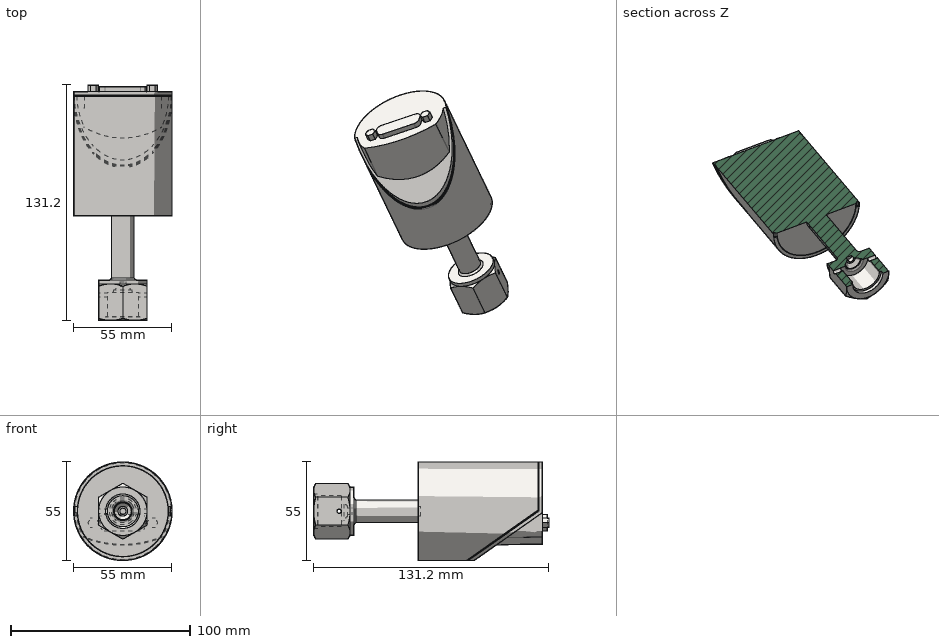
import cadquery as cq
import math


hexagon_half_angle = 30.0

case_diameter = 55.0
case_radius = case_diameter / 2
case_length = 69.2
cover_thickness = 2.1
seam_width = 0.2
seam_depth = 0.5
seam_chamfer = 0.25
slope_angle = 35.1
slope_start_z = 0.3

end_plate_diameter = 50.8
rim_line_width = 0.15
rim_line_depth = 0.2
latch_width = 5.2
latch_outer_radius = 26.7
latch_depth = 1.4

housing_radius = 25.8
housing_edge_z = -14.4
housing_bottom_z = -18.5
housing_draft = 1.0

connector_z = -6.4
connector_height = 2.85
connector_width = 27.3
connector_depth = 9.3
connector_taper = 10.0
connector_corner_radius = 3.1
screw_spacing = 32.9
screw_across_flats = 5.2
screw_height = 3.72

overall_length = 131.22
tube_diameter = 12.7
nut_across_flats = 27.0
nut_length = 20.3
collar_length = 2.15
weld_length = 1.1
weld_diameter = 15.0
nut_chamfer_angle = 30.0
leak_port_diameter = 2.29
leak_port_from_end = 14.2

bore_diameter = 17.3
bore_mouth_diameter = 19.2
bore_mouth_depth = 2.0
bore_mouth_cone = 0.3
bore_depth = 15.5
gland_bore_radius = 5.2
gland_lip_rounding = 0.7
gland_bore_depth = 1.4
gland_cone_mouth_radius = 4.7
gland_cone_radius = 2.7
gland_cone_depth = 3.5
gland_hole_radius = 1.7
gland_hole_depth = 6.0

nut_end_y = case_length + screw_height - overall_length
nut_rear_y = nut_end_y + nut_length


def turned(points):
    """Solid of revolution about Y from (radius, y) points."""
    return cq.Workplane("XY").polyline(points).close().revolve(360, (0, 0, 0), (0, 1, 0))


def cylinder(radius, length):
    """Cylinder along +Y that starts at the front face."""
    return cq.Workplane("XZ").circle(radius).extrude(-length)


def region_before_seam(offset):
    """Space in front of the rear boundary, which is moved back square to itself by offset."""
    reach = case_diameter
    slope = math.radians(slope_angle)
    rear_y = case_length - cover_thickness + offset
    bend_z = slope_start_z - offset * math.tan((math.pi / 2 - slope) / 2)
    bottom_y = rear_y - (bend_z + reach) / math.tan(slope)
    points = [
        (-reach, reach),
        (rear_y, reach),
        (rear_y, bend_z),
        (bottom_y, -reach),
        (-reach, -reach),
    ]
    return cq.Workplane("YZ").polyline(points).close().extrude(reach, both=True)


def chamfer_seam_edges(part, facing):
    """Bevel the rims of the upright and slanted seam faces; facing 1 looks to the rear, -1 to the front."""
    slope = math.radians(slope_angle)
    upright = cq.Vector(0, facing, 0)
    slanted = cq.Vector(0, facing * math.sin(slope), -facing * math.cos(slope))
    upright_face = cq.selectors.DirectionSelector(upright)
    slanted_face = cq.selectors.DirectionSelector(slanted)
    return part.faces(upright_face + slanted_face).edges("not %LINE").chamfer(seam_chamfer)


def make_case():
    full = cylinder(case_radius, case_length)
    core = cylinder(case_radius - seam_depth, case_length)
    body = full.intersect(region_before_seam(-seam_width))
    seam = core.intersect(region_before_seam(0))
    cover = full.intersect(region_before_seam(cover_thickness)).cut(region_before_seam(0))
    body = chamfer_seam_edges(body, 1)
    cover = chamfer_seam_edges(cover, -1)
    return body.union(seam).union(cover)


def make_housing():
    """Drafted round housing that fills the space behind the slope, with a bowed bottom."""
    edge_x = math.sqrt(housing_radius**2 - housing_edge_z**2)
    housing = (
        cq.Workplane("XZ", origin=(0, case_length, 0))
        .moveTo(-edge_x, housing_edge_z)
        .threePointArc((0, housing_radius), (edge_x, housing_edge_z))
        .threePointArc((0, housing_bottom_z), (-edge_x, housing_edge_z))
        .close()
        .extrude(case_length, taper=-housing_draft)
    )
    return housing.cut(region_before_seam(0))


def rim_line():
    """Fine groove between the rim and the end plate."""
    radius = end_plate_diameter / 2
    return cylinder(radius, rim_line_depth).cut(cylinder(radius - rim_line_width, rim_line_depth))


def latch_slot(side):
    """Slot in the rim whose floor gets deeper outward."""
    inner_x = side * end_plate_diameter / 2
    outer_x = side * latch_outer_radius
    points = [(inner_x, 0), (outer_x, 0), (outer_x, latch_depth)]
    return cq.Workplane("XY").polyline(points).close().extrude(latch_width / 2, both=True)


def make_connector():
    half_height = connector_depth / 2
    inset = connector_depth * math.tan(math.radians(connector_taper))
    half_top = connector_width / 2
    half_bottom = half_top - inset
    points = [
        (-half_top, connector_z + half_height),
        (half_top, connector_z + half_height),
        (half_bottom, connector_z - half_height),
        (-half_bottom, connector_z - half_height),
    ]
    shell = cq.Workplane("XZ", origin=(0, case_length, 0)).polyline(points).close()
    shell = shell.extrude(-connector_height)
    shell = shell.edges("|Y").fillet(connector_corner_radius)
    corner_diameter = screw_across_flats / math.cos(math.radians(hexagon_half_angle))
    screws = (
        cq.Workplane("XZ", origin=(0, case_length, connector_z))
        .pushPoints([(-screw_spacing / 2, 0), (screw_spacing / 2, 0)])
        .polygon(6, corner_diameter)
        .extrude(-screw_height)
    )
    return shell.union(screws)


def make_nut():
    flat_radius = nut_across_flats / 2
    corner_radius = flat_radius / math.cos(math.radians(hexagon_half_angle))
    chamfer = (corner_radius - flat_radius) * math.tan(math.radians(nut_chamfer_angle))
    hexagon = (
        cq.Workplane("XZ", origin=(0, nut_end_y, 0))
        .polygon(6, 2 * corner_radius)
        .extrude(-nut_length)
        .rotate((0, 0, 0), (0, 1, 0), hexagon_half_angle)
    )
    envelope = turned([
        (0, nut_end_y),
        (flat_radius, nut_end_y),
        (corner_radius, nut_end_y + chamfer),
        (corner_radius, nut_rear_y - chamfer),
        (flat_radius, nut_rear_y),
        (0, nut_rear_y),
    ])
    return hexagon.intersect(envelope)


def make_tube_and_collar():
    collar_y = nut_rear_y + collar_length
    collar_radius = nut_across_flats / 2
    tube_radius = tube_diameter / 2
    return turned([
        (0, nut_rear_y),
        (collar_radius, nut_rear_y),
        (collar_radius, collar_y),
        (weld_diameter / 2, collar_y),
        (tube_radius, collar_y + weld_length),
        (tube_radius, 0),
        (0, 0),
    ])


def nut_bore():
    mouth_radius = bore_mouth_diameter / 2
    bore_radius = bore_diameter / 2
    mouth_y = nut_end_y + bore_mouth_depth
    gland_y = nut_end_y + bore_depth
    hole_y = gland_y + gland_cone_depth
    lip_middle = gland_lip_rounding * (1 - math.sin(math.pi / 4))
    return (
        cq.Workplane("XY")
        .moveTo(0, nut_end_y)
        .lineTo(mouth_radius, nut_end_y)
        .lineTo(mouth_radius, mouth_y)
        .lineTo(bore_radius, mouth_y + bore_mouth_cone)
        .lineTo(bore_radius, gland_y)
        .lineTo(gland_bore_radius + gland_lip_rounding, gland_y)
        .threePointArc(
            (gland_bore_radius + lip_middle, gland_y + lip_middle),
            (gland_bore_radius, gland_y + gland_lip_rounding),
        )
        .lineTo(gland_bore_radius, gland_y + gland_bore_depth)
        .lineTo(gland_cone_mouth_radius, gland_y + gland_bore_depth)
        .lineTo(gland_cone_radius, hole_y)
        .lineTo(gland_hole_radius, hole_y)
        .lineTo(gland_hole_radius, gland_y + gland_hole_depth)
        .lineTo(0, gland_y + gland_hole_depth)
        .close()
        .revolve(360, (0, 0, 0), (0, 1, 0))
    )


def leak_ports():
    """Cross hole through two opposite flats of the nut."""
    port_y = nut_end_y + leak_port_from_end
    port = cq.Workplane("YZ").center(port_y, 0).circle(leak_port_diameter / 2)
    return port.extrude(nut_across_flats, both=True)


result = make_case().union(make_housing()).union(make_connector())
result = result.cut(rim_line())
for side in (-1, 1):
    result = result.cut(latch_slot(side))
result = result.union(make_tube_and_collar()).union(make_nut())
result = result.cut(nut_bore()).cut(leak_ports())